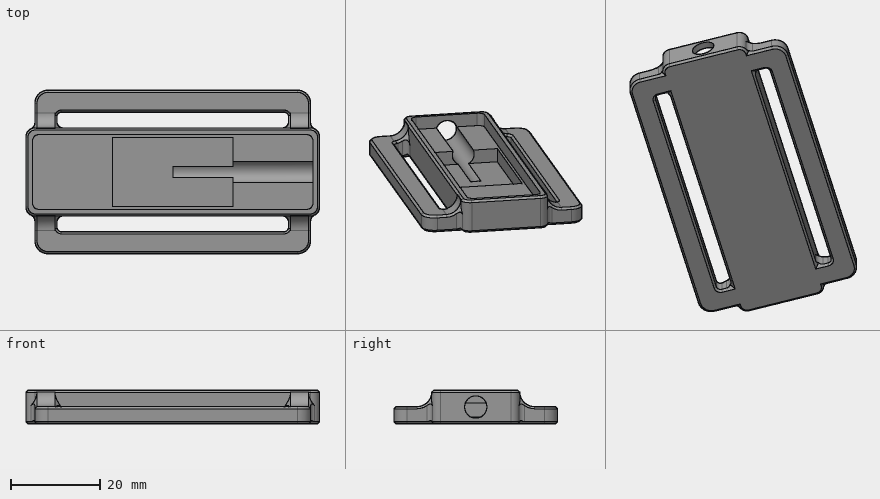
import cadquery as cq
import math

body_length = 66.0
body_width = 19.8
body_height = 7.6
body_corner_radius = 2.0
edge_chamfer = 0.5

wall = 1.5
cavity_corner_radius = 1.4
cavity_depth = 2.9
floor_level = body_height - cavity_depth
pocket_length = 27.0
pocket_width = 15.6
pocket_depth = 3.1
pocket_level = floor_level - pocket_depth

channel_diameter = 5.0
channel_axis_height = body_height / 2

frame_length = 62.0
frame_width = 36.8
frame_height = 3.9
frame_corner_radius = 3.0
slot_length = 52.0
slot_width = 3.5
slot_corner_radius = 1.0

saddle_radius = 3.3
outer_joint_radius = 1.4
slot_joint_radius = 1.4

body_side = body_width / 2
frame_end = frame_length / 2
slot_end = slot_length / 2
saddle_axis_y = body_side + saddle_radius
web_top = frame_height + saddle_radius
corner_x = body_length / 2 - body_corner_radius
corner_y = body_side - body_corner_radius


def rounded_block(length, width, height, corner_radius):
    """Block standing on Z = 0 with rounded vertical corners."""
    block = cq.Workplane("XY").box(length, width, height, centered=(True, True, False))
    return block.edges("|Z").fillet(corner_radius)


def make_body():
    """Solid tray block, chamfered around its top and bottom."""
    block = rounded_block(body_length, body_width, body_height, body_corner_radius)
    return block.faces("<Z or >Z").edges().chamfer(edge_chamfer)


def make_frame():
    """Flat plate with one strap slot on each side; each slot reaches under the tray."""
    slot_opening = 2 * (body_side + slot_width)
    plate = rounded_block(frame_length, frame_width, frame_height, frame_corner_radius)
    opening = rounded_block(slot_length, slot_opening, frame_height, slot_corner_radius)
    plate = plate.cut(opening)
    return plate.faces("<Z or >Z").edges().chamfer(edge_chamfer)


def make_web():
    """Block that fills the +X, +Y end of the frame up to the tray side."""
    block = cq.Workplane("XY").box(
        frame_end - slot_end, saddle_axis_y, web_top - edge_chamfer, centered=False
    )
    return block.translate((slot_end, 0, edge_chamfer))


def make_outer_joint():
    """Upright concave fillet between the frame end and the rounded tray corner (+X, +Y)."""
    center_x = frame_end + outer_joint_radius
    center_gap = body_corner_radius + outer_joint_radius
    center_y = corner_y + math.sqrt(center_gap**2 - (center_x - corner_x) ** 2)
    tray_share = body_corner_radius / center_gap
    tray_x = corner_x + tray_share * (center_x - corner_x)
    tray_y = corner_y + tray_share * (center_y - corner_y)
    tray_angle = math.pi + math.atan2(center_y - tray_y, center_x - tray_x)
    middle_angle = (math.pi + tray_angle) / 2
    middle = (
        center_x + outer_joint_radius * math.cos(middle_angle),
        center_y + outer_joint_radius * math.sin(middle_angle),
    )
    filler = (
        cq.Workplane("XY")
        .workplane(offset=edge_chamfer)
        .moveTo(corner_x, corner_y)
        .lineTo(frame_end, center_y)
        .threePointArc(middle, (tray_x, tray_y))
        .close()
        .extrude(web_top - edge_chamfer)
    )
    above_frame_chamfer = (
        cq.Workplane("XZ")
        .moveTo(frame_end, edge_chamfer)
        .lineTo(frame_end + web_top, edge_chamfer + web_top)
        .lineTo(frame_end, edge_chamfer + web_top)
        .close()
        .extrude(-saddle_axis_y)
    )
    above_tray_chamfer = (
        cq.Workplane("XZ")
        .moveTo(0, edge_chamfer)
        .lineTo(body_corner_radius, edge_chamfer)
        .lineTo(body_corner_radius + web_top, edge_chamfer + web_top)
        .lineTo(0, edge_chamfer + web_top)
        .close()
        .revolve(360, (0, 0, 0), (0, 1, 0))
        .translate((corner_x, corner_y, 0))
    )
    return filler.intersect(above_frame_chamfer.union(above_tray_chamfer))


def make_saddle_cutter():
    """Cylinder along X that hollows a web, flared past both ends to chamfer its curved edges."""
    flare = edge_chamfer + outer_joint_radius
    flared_radius = saddle_radius + flare
    inner_edge = slot_end + edge_chamfer
    outer_edge = frame_end - edge_chamfer
    return (
        cq.Workplane("XY")
        .moveTo(inner_edge - flare, 0)
        .lineTo(inner_edge - flare, flared_radius)
        .lineTo(inner_edge, saddle_radius)
        .lineTo(outer_edge, saddle_radius)
        .lineTo(outer_edge + flare, flared_radius)
        .lineTo(outer_edge + flare, 0)
        .close()
        .revolve(360, (0, 0, 0), (1, 0, 0))
        .translate((0, saddle_axis_y, web_top))
    )


def make_saddle():
    """Concave rise from the frame to the tray at the +X, +Y end."""
    return make_web().union(make_outer_joint()).cut(make_saddle_cutter())


def in_four_quadrants(shape):
    """The shape together with its mirror images across the X and Y middle planes."""
    pair = shape.union(shape.mirror("YZ"))
    return pair.union(pair.mirror("XZ"))


def round_slot_joints(solid):
    """Fillet the upright edges where the slot ends meet the tray sides."""
    reach = slot_joint_radius / 2
    joint_boxes = [
        cq.selectors.BoxSelector((x - reach, y - reach, 0), (x + reach, y + reach, body_height))
        for x in (-slot_end, slot_end)
        for y in (-body_side, body_side)
    ]
    for joint_box in joint_boxes:
        solid = solid.edges("|Z").edges(joint_box).fillet(slot_joint_radius)
    return solid


def make_hollow():
    """Everything removed from the tray: cavity, deeper pocket and round channel."""
    cavity = rounded_block(
        body_length - 2 * wall, body_width - 2 * wall, cavity_depth, cavity_corner_radius
    ).translate((0, 0, floor_level))
    pocket = cq.Workplane("XY").box(
        pocket_length, pocket_width, pocket_depth, centered=(True, True, False)
    ).translate((0, 0, pocket_level))
    channel = (
        cq.Workplane("YZ")
        .center(0, channel_axis_height)
        .circle(channel_diameter / 2)
        .extrude(body_length / 2)
    )
    return cavity.union(pocket).union(channel)


saddles = in_four_quadrants(make_saddle())
part = make_body().union(make_frame()).union(saddles)
part = round_slot_joints(part)
result = part.cut(make_hollow())